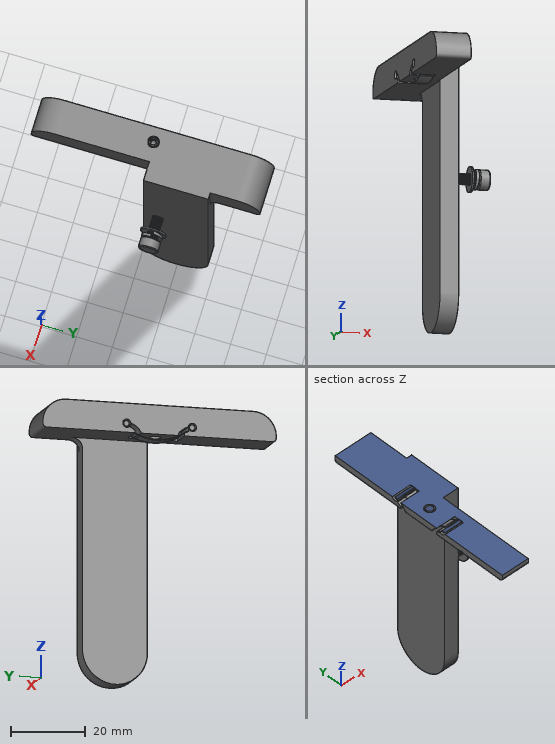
import cadquery as cq
import math

BAR_LENGTH = 65.0
BAR_HEIGHT = 8.0
BAR_DEPTH = 9.7
BAR_DEEP_DEPTH = 13.3
BAR_TOP_RADIUS = 6.5
BAR_BOTTOM_RADIUS = 1.0
OVERALL_HEIGHT = 75.0
BAR_TOP = OVERALL_HEIGHT / 2
BAR_BOTTOM = BAR_TOP - BAR_HEIGHT

STEM_WIDTH = 18.1
STEM_CENTRE_Y = 9.55
STEM_FRONT = 9.95
STEM_BACK = 15.15
STEM_BOTTOM = BAR_TOP - OVERALL_HEIGHT
STEM_FILLET = 3.0

PIN_SPACING = 18.3
PIN_Z = 32.0
PIN_DIAMETER = 1.5
PIN_RECESS = 0.4
PIN_HOLE_DIAMETER = 2.2
POCKET_DEPTH = 6.7
BOW_WIDTH = 3.9
BOW_THICKNESS = 0.2
BOW_BOTTOM = 28.5
RELIEF_UPPER_START = (7.9, 32.0)
RELIEF_UPPER_MIDDLE = (6.2, 31.0)
RELIEF_UPPER_END = (5.1, BAR_BOTTOM)
RELIEF_LOWER_CORNER = (6.9, 30.3)
RELIEF_LOWER_START = (8.2, 31.0)

THREAD_DIAMETER = 3.0
THREAD_HOLE_DIAMETER = 3.1
THREAD_PITCH = 0.5
THREAD_DEPTH = 0.3
THREAD_ROOT_WIDTH = 0.4
THREAD_CREST_WIDTH = 0.06
THREAD_EMBED = 0.05

SET_SCREW_X = 4.1
SET_SCREW_LENGTH = 6.0
SET_SCREW_RECESS = 0.3
SOCKET_ACROSS_FLATS = 1.5
SOCKET_DEPTH = 1.2
SOCKET_CONE_DEPTH = 0.4

CAP_SCREW_Y = 4.55
CAP_SCREW_Z = 3.7
CAP_SCREW_END = 24.44
HEAD_DIAMETER = 5.5
HEAD_LENGTH = 3.0
HEAD_CHAMFER = 0.3
SHANK_LENGTH = 10.0
HEAD_BASE = CAP_SCREW_END - HEAD_LENGTH
SHANK_TIP = HEAD_BASE - SHANK_LENGTH
FLAT_WASHER_DIAMETER = 7.0
FLAT_WASHER_BORE = 3.2
FLAT_WASHER_THICKNESS = 0.5
SPRING_WASHER_DIAMETER = 5.6
SPRING_WASHER_BORE = 3.4
SPRING_WASHER_THICKNESS = 0.8
SPRING_WASHER_HEIGHT = 1.8
SPRING_WASHER_GAP_ANGLE = 8.0
FLAT_WASHER_START = HEAD_BASE - SPRING_WASHER_HEIGHT - FLAT_WASHER_THICKNESS


def along_x(body, x, y, z):
    """Turn a body built along +Z to run along +X, and move its base to (x, y, z)."""
    return body.rotate((0, 0, 0), (0, 1, 0), 90).translate((x, y, z))


def x_cylinder(x_start, x_end, y, z, diameter):
    """Cylinder along X between two X positions."""
    cylinder = cq.Workplane("XY").circle(diameter / 2).extrude(x_end - x_start)
    return along_x(cylinder, x_start, y, z)


def threaded_rod(length):
    """M3 rod along +Z from the origin: a core with one helical ridge, plain at both ends."""
    rim_radius = THREAD_DIAMETER / 2
    core_radius = rim_radius - THREAD_DEPTH
    inner_radius = core_radius - THREAD_EMBED
    path = cq.Wire.makeHelix(THREAD_PITCH, length - 2 * THREAD_PITCH, core_radius)
    ridge = (
        cq.Workplane("XZ")
        .polyline([
            (inner_radius, -THREAD_ROOT_WIDTH / 2),
            (rim_radius, -THREAD_CREST_WIDTH / 2),
            (rim_radius, THREAD_CREST_WIDTH / 2),
            (inner_radius, THREAD_ROOT_WIDTH / 2),
        ])
        .close()
        .sweep(cq.Workplane(obj=path), isFrenet=True)
        .translate((0, 0, THREAD_PITCH))
    )
    return cq.Workplane("XY").circle(core_radius).extrude(length).union(ridge)


def crossbar():
    bar = (
        cq.Workplane("YZ")
        .center(0, BAR_TOP - BAR_HEIGHT / 2)
        .rect(BAR_LENGTH, BAR_HEIGHT)
        .extrude(BAR_DEEP_DEPTH)
        .edges("|X and >Z").fillet(BAR_TOP_RADIUS)
        .edges("|X and <Z").fillet(BAR_BOTTOM_RADIUS)
    )
    step = cq.Workplane("XY").box(
        BAR_DEEP_DEPTH, BAR_LENGTH, BAR_HEIGHT, centered=False
    ).translate((BAR_DEPTH, STEM_CENTRE_Y - STEM_WIDTH / 2 - BAR_LENGTH, BAR_BOTTOM))
    return bar.cut(step)


def stem():
    radius = STEM_WIDTH / 2
    right = STEM_CENTRE_Y - radius
    left = STEM_CENTRE_Y + radius
    round_centre_z = STEM_BOTTOM + radius
    corner_offset = STEM_FILLET * (1 - math.sqrt(0.5))
    outline = (
        cq.Workplane("YZ", origin=(STEM_FRONT, 0, 0))
        .moveTo(right, BAR_TOP)
        .lineTo(right, round_centre_z)
        .threePointArc((STEM_CENTRE_Y, STEM_BOTTOM), (left, round_centre_z))
        .lineTo(left, BAR_TOP)
        .close()
    )
    fillet = (
        cq.Workplane("YZ", origin=(STEM_FRONT, 0, 0))
        .moveTo(left, BAR_BOTTOM)
        .lineTo(left, BAR_BOTTOM - STEM_FILLET)
        .threePointArc(
            (left + corner_offset, BAR_BOTTOM - corner_offset),
            (left + STEM_FILLET, BAR_BOTTOM),
        )
        .close()
        .extrude(BAR_DEEP_DEPTH - STEM_FRONT)
    )
    return outline.extrude(STEM_BACK - STEM_FRONT).union(fillet)


def spring_pocket():
    """Pin hole and relief on the +Y side, with the mirrored pair on the -Y side."""
    pin_hole = x_cylinder(0, POCKET_DEPTH, PIN_SPACING / 2, PIN_Z, PIN_HOLE_DIAMETER)
    relief = (
        cq.Workplane("YZ")
        .moveTo(*RELIEF_UPPER_START)
        .threePointArc(RELIEF_UPPER_MIDDLE, RELIEF_UPPER_END)
        .lineTo(RELIEF_LOWER_CORNER[0], BAR_BOTTOM)
        .lineTo(*RELIEF_LOWER_CORNER)
        .lineTo(*RELIEF_LOWER_START)
        .close()
        .extrude(POCKET_DEPTH)
    )
    pocket = pin_hole.union(relief)
    return pocket.union(pocket.mirror("XZ"))


def build_housing(bow_spring):
    set_screw_hole = (
        cq.Workplane("XY", origin=(SET_SCREW_X, 0, BAR_BOTTOM))
        .circle(THREAD_HOLE_DIAMETER / 2)
        .extrude(BAR_HEIGHT)
    )
    cap_screw_hole = x_cylinder(
        SHANK_TIP, STEM_BACK, CAP_SCREW_Y, CAP_SCREW_Z, THREAD_HOLE_DIAMETER
    )
    body = crossbar().union(stem())
    return body.cut(spring_pocket()).cut(set_screw_hole).cut(cap_screw_hole).cut(bow_spring)


def build_pin(side):
    """Plain pin standing on the floor of its wider hole."""
    return x_cylinder(PIN_RECESS, POCKET_DEPTH, side * PIN_SPACING / 2, PIN_Z, PIN_DIAMETER)


def build_bow_spring(pins):
    """Thin strip bowed between the pins, trimmed where it meets them."""
    half_span = PIN_SPACING / 2
    strip = (
        cq.Workplane("YZ", origin=(POCKET_DEPTH - BOW_WIDTH, 0, 0))
        .moveTo(-half_span, PIN_Z)
        .threePointArc((0, BOW_BOTTOM), (half_span, PIN_Z))
        .lineTo(half_span, PIN_Z + BOW_THICKNESS)
        .threePointArc((0, BOW_BOTTOM + BOW_THICKNESS), (-half_span, PIN_Z + BOW_THICKNESS))
        .close()
        .extrude(BOW_WIDTH)
    )
    for pin in pins:
        strip = strip.cut(pin)
    return strip


def build_set_screw():
    socket = (
        cq.Workplane("XY", origin=(0, 0, SET_SCREW_LENGTH - SOCKET_DEPTH))
        .polygon(6, SOCKET_ACROSS_FLATS, circumscribed=True)
        .extrude(SOCKET_DEPTH)
    )
    cone_top = SET_SCREW_LENGTH - SOCKET_DEPTH
    socket_cone = (
        cq.Workplane("XZ")
        .polyline([
            (0, cone_top),
            (SOCKET_ACROSS_FLATS / 2, cone_top),
            (0, cone_top - SOCKET_CONE_DEPTH),
        ])
        .close()
        .revolve(360, (0, 0, 0), (0, 1, 0))
    )
    screw = threaded_rod(SET_SCREW_LENGTH).cut(socket.union(socket_cone))
    return screw.translate((SET_SCREW_X, 0, BAR_TOP - SET_SCREW_RECESS - SET_SCREW_LENGTH))


def build_cap_screw():
    head = (
        cq.Workplane("XY", origin=(0, 0, SHANK_LENGTH))
        .circle(HEAD_DIAMETER / 2)
        .extrude(HEAD_LENGTH)
        .faces("<Z or >Z").chamfer(HEAD_CHAMFER)
    )
    screw = threaded_rod(SHANK_LENGTH).union(head)
    return along_x(screw, SHANK_TIP, CAP_SCREW_Y, CAP_SCREW_Z)


def build_flat_washer():
    washer = (
        cq.Workplane("XY")
        .circle(FLAT_WASHER_DIAMETER / 2)
        .circle(FLAT_WASHER_BORE / 2)
        .extrude(FLAT_WASHER_THICKNESS)
    )
    return along_x(washer, FLAT_WASHER_START, CAP_SCREW_Y, CAP_SCREW_Z)


def build_spring_washer():
    """Split washer: a rectangular section along one left-handed helical turn, split at the top."""
    rise = SPRING_WASHER_HEIGHT - SPRING_WASHER_THICKNESS
    mean_radius = (SPRING_WASHER_DIAMETER + SPRING_WASHER_BORE) / 4
    section_width = (SPRING_WASHER_DIAMETER - SPRING_WASHER_BORE) / 2
    turn = 1 - SPRING_WASHER_GAP_ANGLE / 360
    path = cq.Wire.makeHelix(rise / turn, rise, mean_radius, lefthand=True)
    path = path.translate(cq.Vector(0, 0, SPRING_WASHER_THICKNESS / 2))
    coil = (
        cq.Workplane("XZ", origin=(mean_radius, 0, SPRING_WASHER_THICKNESS / 2))
        .rect(section_width, SPRING_WASHER_THICKNESS)
        .sweep(cq.Workplane(obj=path), isFrenet=True)
    )
    coil = coil.rotate((0, 0, 0), (0, 0, 1), 180 - SPRING_WASHER_GAP_ANGLE / 2)
    return along_x(coil, FLAT_WASHER_START + FLAT_WASHER_THICKNESS, CAP_SCREW_Y, CAP_SCREW_Z)


pins = [build_pin(side) for side in (-1, 1)]
bow_spring = build_bow_spring(pins)
housing = build_housing(bow_spring)
set_screw = build_set_screw()
cap_screw = build_cap_screw()
flat_washer = build_flat_washer()
spring_washer = build_spring_washer()

result = cq.Compound.makeCompound([
    housing.val(),
    *[pin.val() for pin in pins],
    bow_spring.val(),
    set_screw.val(),
    cap_screw.val(),
    flat_washer.val(),
    spring_washer.val(),
])